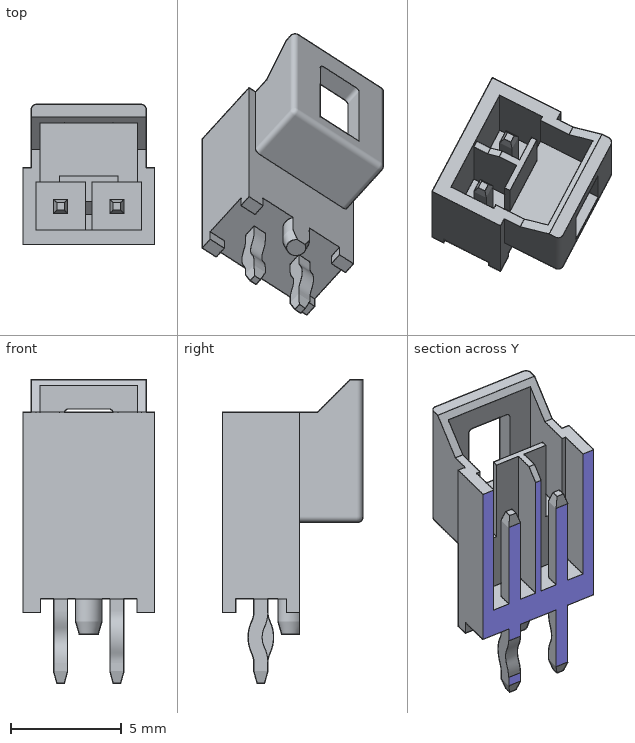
import cadquery as cq
import math


body_width = 5.94
body_depth = 3.48
body_height = 9.05
foot_height = 0.62
foot_width = 0.8
foot_depth = 0.6

pin_pitch = 2.54
front_wall = 0.67
cavity_width = 2.24
cavity_depth = 2.17
cavity_floor = 2.1
cavity_back = front_wall + cavity_depth

divider_width = pin_pitch - cavity_width
divider_step_end = 1.37
divider_step_start = 1.96
divider_step_drop = divider_step_start - divider_step_end
bar_width = 2.64
bar_thickness = 0.27

total_depth = 6.34
hood_width = 5.2
hood_rise = 1.47
hood_drop = 4.98
hood_rim = 0.58
hood_side_wall = 0.4
hood_back_wall = 0.84
hood_edge_radius = 0.25
hood_top = body_height + hood_rise
hood_bottom = body_height - hood_drop
hood_floor = hood_bottom + hood_back_wall

window_width = 2.2
window_rise = 0.14
window_top = body_height + window_rise
window_radius = 0.2

peg_radius = 0.6
peg_tip_radius = 0.43
peg_setback = 0.38
peg_length = 1.6
peg_taper = 0.58

pin_size = 0.64
pin_y = 1.73
pin_tip_size = 0.34
pin_tip_length = 0.54
pin_recess = 2.0
pin_top = body_height - pin_recess
pin_bottom = -3.19
bend_radius = 1.36
bend_offset = 0.26
straight_length = 0.57
bend_start = foot_height - straight_length


def block(x_size, y_range, z_range):
    """Box centred on X = 0 that spans the given Y and Z ranges."""
    y_size = y_range[1] - y_range[0]
    z_size = z_range[1] - z_range[0]
    box = cq.Workplane("XY").box(x_size, y_size, z_size, centered=(True, False, False))
    return box.translate((0, y_range[0], z_range[0]))


def side_profile(points, width):
    """Prism centred on X = 0 with an outline given as (Y, Z) points."""
    return cq.Workplane("YZ").polyline(points).close().extrude(width / 2, both=True)


def make_body():
    """Plain housing block standing on four corner feet."""
    body = block(body_width, (0, body_depth), (0, body_height))
    front_gap = block(body_width - 2 * foot_width, (0, body_depth), (0, foot_height))
    side_gap = block(body_width, (foot_depth, body_depth - foot_depth), (0, foot_height))
    return body.cut(front_gap).cut(side_gap)


def make_hood():
    """Solid hood with a sloped rim and rounded back and bottom edges."""
    hood = block(hood_width, (cavity_back, total_depth), (hood_bottom, hood_top))
    hood = hood.edges("|Z and >Y").fillet(hood_edge_radius)
    hood = hood.faces("<Z").edges("not <Y").fillet(hood_edge_radius)
    rim_front = total_depth - hood_rim
    slope = [
        (rim_front, hood_top),
        (rim_front - hood_rise, body_height),
        (0, body_height),
        (0, hood_top),
    ]
    return hood.cut(side_profile(slope, hood_width))


def make_cavities():
    """Space of both contact cavities, with the divider between them left out."""
    space = block(2 * cavity_width + divider_width, (front_wall, cavity_back), (cavity_floor, body_height))
    divider_low = body_height - divider_step_drop
    divider = [
        (front_wall, cavity_floor),
        (cavity_back, cavity_floor),
        (cavity_back, body_height),
        (divider_step_start, body_height),
        (divider_step_end, divider_low),
        (front_wall, divider_low),
    ]
    return space.cut(side_profile(divider, divider_width))


def make_hood_pocket():
    """Space inside the hood, with the cross bar left standing."""
    pocket_width = hood_width - 2 * hood_side_wall
    pocket = block(pocket_width, (cavity_back, total_depth - hood_back_wall), (hood_floor, hood_top))
    bar = block(bar_width, (cavity_back, cavity_back + bar_thickness), (hood_floor, body_height))
    return pocket.cut(bar)


def make_window():
    """Latch window from the hood floor upwards, with rounded top corners."""
    window = block(window_width, (total_depth - hood_back_wall, total_depth), (hood_floor, window_top))
    return window.edges("|Y and >Z").fillet(window_radius)


def make_peg():
    """Round tapered peg, cut flat along the back face of the housing."""
    peg_end = foot_height - peg_length
    profile = [
        (0, peg_end),
        (peg_tip_radius, peg_end),
        (peg_radius, peg_end + peg_taper),
        (peg_radius, foot_height),
        (0, foot_height),
    ]
    peg = cq.Workplane("XZ").polyline(profile).close().revolve(360, (0, 0, 0), (0, 1, 0))
    peg = peg.translate((0, body_depth - peg_setback, 0))
    return peg.intersect(block(body_width, (0, body_depth), (peg_end, foot_height)))


def make_tip(x, z, direction):
    """Tapered pin tip that starts at height z and points up (1) or down (-1)."""
    return (
        cq.Workplane("XY", origin=(x, pin_y, z))
        .rect(pin_size, pin_size)
        .workplane(offset=direction * pin_tip_length)
        .rect(pin_tip_size, pin_tip_size)
        .loft(ruled=True)
    )


def make_pin(x, side):
    """Square pin whose tail bows towards +Y (side = 1) or -Y (side = -1)."""
    half = pin_size / 2
    shank_top = pin_top - pin_tip_length
    shank_bottom = pin_bottom + pin_tip_length
    angle = math.acos(1 - bend_offset / (2 * bend_radius))
    bow_middle = bend_start - 2 * bend_radius * math.sin(angle)
    bow_end = 2 * bow_middle - bend_start
    crest_center = bend_offset - bend_radius

    def root_arc(edge, turn, z_center, z_sign):
        """Point on an arc that joins the bow to the straight shank."""
        radius = bend_radius - edge
        return bend_radius - radius * math.cos(turn), z_center - z_sign * radius * math.sin(turn)

    def crest_arc(edge, turn):
        """Point on the arc across the middle of the bow."""
        radius = bend_radius + edge
        return crest_center + radius * math.cos(turn), bow_middle + radius * math.sin(turn)

    def place(point):
        return pin_y + side * point[0], point[1]

    outline = cq.Workplane("YZ").moveTo(*place((-half, shank_top))).lineTo(*place((-half, bend_start)))
    outline = outline.threePointArc(
        place(root_arc(-half, angle / 2, bend_start, 1)), place(crest_arc(-half, angle))
    )
    outline = outline.threePointArc(place(crest_arc(-half, 0)), place(crest_arc(-half, -angle)))
    outline = outline.threePointArc(
        place(root_arc(-half, angle / 2, bow_end, -1)), place((-half, bow_end))
    )
    outline = outline.lineTo(*place((-half, shank_bottom))).lineTo(*place((half, shank_bottom)))
    outline = outline.lineTo(*place((half, bow_end)))
    outline = outline.threePointArc(
        place(root_arc(half, angle / 2, bow_end, -1)), place(crest_arc(half, -angle))
    )
    outline = outline.threePointArc(place(crest_arc(half, 0)), place(crest_arc(half, angle)))
    outline = outline.threePointArc(
        place(root_arc(half, angle / 2, bend_start, 1)), place((half, bend_start))
    )
    outline = outline.lineTo(*place((half, shank_top))).close()
    shank = outline.extrude(half, both=True).translate((x, 0, 0))
    return shank.union(make_tip(x, shank_top, 1)).union(make_tip(x, shank_bottom, -1))


result = make_body().union(make_hood())
result = result.cut(make_cavities()).cut(make_hood_pocket()).cut(make_window())
result = result.union(make_peg())
for pin_side in (1, -1):
    result = result.union(make_pin(-pin_side * pin_pitch / 2, pin_side))